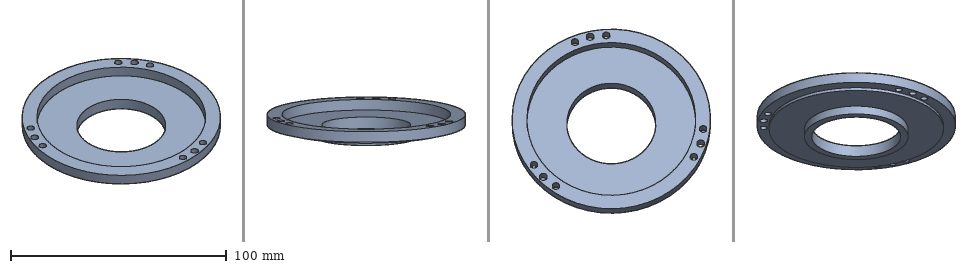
import cadquery as cq

flange_diameter = 92.0
flange_thickness = 5.0
step_diameter = 81.0
step_thickness = 1.5
boss_diameter = 48.0
boss_height = 4.05

recess_diameter = 78.2
recess_depth = flange_thickness
bore_diameter = 41.2

group_angles = (30, 150, 270)
middle_hole_diameter = 3.5
middle_hole_radius = 43.2
side_hole_diameter = 3.3
side_hole_radius = 42.9
side_hole_offset_angle = 10

step_bottom = boss_height
flange_bottom = step_bottom + step_thickness
total_height = flange_bottom + flange_thickness


def disc(diameter, bottom, height):
    return cq.Workplane("XY").workplane(offset=bottom).circle(diameter / 2).extrude(height)


def rim_hole(diameter, radius, angle):
    """Through hole at a polar position on the flange."""
    return disc(diameter, 0, total_height).translate((radius, 0, 0)).rotate((0, 0, 0), (0, 0, 1), angle)


body = disc(boss_diameter, 0, boss_height)
body = body.union(disc(step_diameter, step_bottom, step_thickness))
body = body.union(disc(flange_diameter, flange_bottom, flange_thickness))

body = body.cut(disc(recess_diameter, total_height - recess_depth, recess_depth))
body = body.cut(disc(bore_diameter, 0, total_height))

for group_angle in group_angles:
    body = body.cut(rim_hole(middle_hole_diameter, middle_hole_radius, group_angle))
    for side in (-1, 1):
        hole_angle = group_angle + side * side_hole_offset_angle
        body = body.cut(rim_hole(side_hole_diameter, side_hole_radius, hole_angle))

result = body